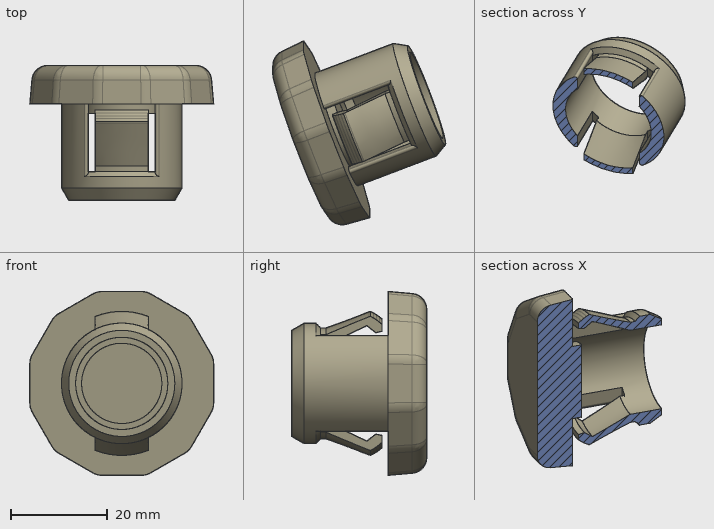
import cadquery as cq
import math


CAP_SIDES = 12
CAP_ACROSS_FLATS = 38.13
CAP_THICKNESS = 8.0
CAP_DRAFT = 5.0
CAP_CORNER_RADIUS = 4.0
CAP_RIM_RADIUS = 3.35

SHANK_RADIUS = 25.0 / 2
SHANK_LENGTH = 20.0
BORE_RADIUS = 19.1 / 2
NOSE_RADIUS = 11.0
NOSE_ANGLE = 30.0

BOSS_RADIUS = 16.63 / 2
BOSS_HEIGHT = 2.0

WINDOW_HALF_WIDTH = 6.9
WINDOW_LENGTH = 14.0
WINDOW_CHAMFER = 1.0
WINDOW_LIP_RADIUS = 0.5

CLIP_WIDTH = 11.0
CLIP_ROOT_RADIUS = SHANK_RADIUS - WINDOW_CHAMFER
CLIP_BEND = 12.9
CLIP_CREST_RADIUS = 14.93
CLIP_CREST = 3.65
CLIP_CREST_WIDTH = 0.35
CLIP_CREST_DROP = 0.07
CLIP_TIP = 1.25
CLIP_TIP_OUTER_RADIUS = 13.35
CLIP_TIP_INNER_RADIUS = 12.1
CLIP_TIP_BULGE = 0.13
CLIP_TIP_FACETS = 4
CLIP_HEEL = 2.58
CLIP_HEEL_RADIUS = 11.84
CLIP_KNEE = 4.42
CLIP_KNEE_RADIUS = 13.14

OUTER_LIMIT = SHANK_RADIUS + 2 * WINDOW_CHAMFER


def revolve_about_y(profile):
    """Revolve a closed (radius, Y) profile about the shank axis."""
    return profile.close().revolve(360, (0, 0, 0), (0, 1, 0))


def make_cap():
    """Drafted twelve-sided cap with rounded corners and a rounded rim."""
    corner_distance = CAP_ACROSS_FLATS / 2 / math.cos(math.pi / CAP_SIDES)
    corners = []
    for index in range(CAP_SIDES):
        angle = (2 * index + 1) * math.pi / CAP_SIDES
        corners.append((corner_distance * math.cos(angle), corner_distance * math.sin(angle)))
    seat = cq.Plane(origin=(0, 0, 0), xDir=(1, 0, 0), normal=(0, 1, 0))
    cap = cq.Workplane(seat).polyline(corners).close().extrude(CAP_THICKNESS, taper=CAP_DRAFT)
    cap = cap.edges("not(#Y)").fillet(CAP_CORNER_RADIUS)
    return cap.faces(">Y").edges().fillet(CAP_RIM_RADIUS)


def make_shank():
    """Tube with a tapered nose, standing on the cap."""
    nose_length = (SHANK_RADIUS - NOSE_RADIUS) / math.tan(math.radians(NOSE_ANGLE))
    profile = (
        cq.Workplane("XY")
        .moveTo(BORE_RADIUS, 0)
        .lineTo(SHANK_RADIUS, 0)
        .lineTo(SHANK_RADIUS, nose_length - SHANK_LENGTH)
        .lineTo(NOSE_RADIUS, -SHANK_LENGTH)
        .lineTo(BORE_RADIUS, -SHANK_LENGTH)
    )
    return revolve_about_y(profile)


def make_boss():
    """Low round boss on the cap, inside the bore."""
    return cq.Workplane("XZ").circle(BOSS_RADIUS).extrude(BOSS_HEIGHT)


def make_window():
    """Cutter for the upper window: rounded lips along its sides, a chamfer at its nose end."""
    lip_x = WINDOW_HALF_WIDTH + WINDOW_LIP_RADIUS
    lip_distance = SHANK_RADIUS - WINDOW_LIP_RADIUS
    lip_z = math.sqrt(lip_distance**2 - lip_x**2)
    blend_x = lip_x * SHANK_RADIUS / lip_distance
    blend_z = lip_z * SHANK_RADIUS / lip_distance
    mid_angle = (math.atan2(lip_z, lip_x) + math.pi) / 2
    mid_x = lip_x + WINDOW_LIP_RADIUS * math.cos(mid_angle)
    mid_z = lip_z + WINDOW_LIP_RADIUS * math.sin(mid_angle)
    opening = (
        cq.Workplane("XZ")
        .moveTo(-WINDOW_HALF_WIDTH, 0)
        .lineTo(WINDOW_HALF_WIDTH, 0)
        .lineTo(WINDOW_HALF_WIDTH, lip_z)
        .threePointArc((mid_x, mid_z), (blend_x, blend_z))
        .lineTo(blend_x, OUTER_LIMIT)
        .lineTo(-blend_x, OUTER_LIMIT)
        .lineTo(-blend_x, blend_z)
        .threePointArc((-mid_x, mid_z), (-WINDOW_HALF_WIDTH, lip_z))
        .close()
        .extrude(SHANK_LENGTH)
    )
    chamfer_depth = OUTER_LIMIT - CLIP_ROOT_RADIUS
    reach = (
        cq.Workplane("XY")
        .moveTo(BORE_RADIUS, 0)
        .lineTo(OUTER_LIMIT, 0)
        .lineTo(OUTER_LIMIT, -WINDOW_LENGTH - chamfer_depth)
        .lineTo(CLIP_ROOT_RADIUS, -WINDOW_LENGTH)
        .lineTo(BORE_RADIUS, -WINDOW_LENGTH)
    )
    return opening.intersect(revolve_about_y(reach))


def tip_facet_point(fraction):
    """Point (radius, Y) on the slightly bulged hook, from its crest (0) to its tip (1)."""
    straight_radius = CLIP_CREST_RADIUS + fraction * (CLIP_TIP_OUTER_RADIUS - CLIP_CREST_RADIUS)
    bulge = 4 * CLIP_TIP_BULGE * fraction * (1 - fraction)
    distance = CLIP_CREST + fraction * (CLIP_TIP - CLIP_CREST)
    return straight_radius + bulge, -distance


def make_clip():
    """Upper snap clip: an arm rising from the window end to a hooked tip near the cap."""
    root_end = WINDOW_LENGTH + WINDOW_CHAMFER
    profile = (
        cq.Workplane("XY")
        .moveTo(BORE_RADIUS, -root_end)
        .lineTo(CLIP_ROOT_RADIUS, -root_end)
        .lineTo(CLIP_ROOT_RADIUS, -CLIP_BEND)
        .lineTo(CLIP_CREST_RADIUS - CLIP_CREST_DROP, -CLIP_CREST - CLIP_CREST_WIDTH)
        .lineTo(CLIP_CREST_RADIUS, -CLIP_CREST)
    )
    for step in range(1, CLIP_TIP_FACETS + 1):
        profile = profile.lineTo(*tip_facet_point(step / CLIP_TIP_FACETS))
    profile = (
        profile.lineTo(CLIP_TIP_INNER_RADIUS, -CLIP_TIP)
        .lineTo(CLIP_HEEL_RADIUS, -CLIP_HEEL)
        .lineTo(CLIP_KNEE_RADIUS, -CLIP_KNEE)
        .lineTo(BORE_RADIUS, -CLIP_BEND)
    )
    slab_height = 2 * CLIP_CREST_RADIUS
    slab = cq.Workplane("XY").box(CLIP_WIDTH, 2 * SHANK_LENGTH, slab_height, centered=(True, True, False))
    return revolve_about_y(profile).intersect(slab)


window = make_window()
clip = make_clip()
shank = make_shank().cut(window).cut(window.mirror("XY"))
result = make_cap().union(shank).union(make_boss())
result = result.union(clip).union(clip.mirror("XY"))